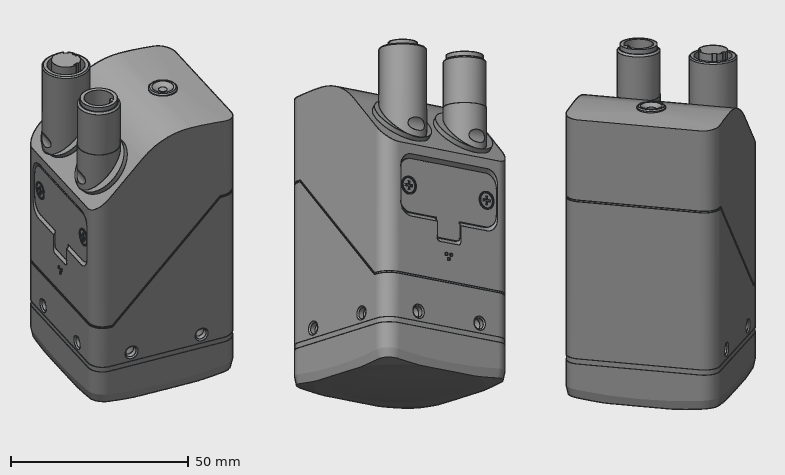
import cadquery as cq
import math

SIDE = 45.0
HALF = SIDE / 2
CORNER_RADIUS = 4.6
CREST_Y = 7.2
CREST_Z = 85.4
ROOF_BACK_Z = 84.1
ROOF_FRONT_RADIUS = 20.7
SLOPE_ANGLE = math.radians(45)

BOWL_RADIUS = 153
BOWL_BOTTOM_Z = -1.5
SKIRT_HEIGHT = 2.5
SKIRT_INSET = 0.6
BASE_Z = 0.4
DOME_RIM_RADIUS = 19.1
DOME_TOP_Z = 2.9

BAND_LOW_Z = 11.5
BAND_HIGH_Z = 13.0
BAND_DEPTH = 0.1
SEAM_FRONT_Z = 25.9
SEAM_TURN_Y = 16.9
SEAM_BACK_Z = SEAM_FRONT_Z + 2 * SEAM_TURN_Y
SEAM_WIDTH = 0.5
SEAM_DEPTH = 0.2

MOUNT_SPACING = 22.0
MOUNT_Z = 15.9
MOUNT_DIAMETER = 3.25
MOUNT_MOUTH_DIAMETER = 4.1
MOUNT_DEPTH = 2.0
DRILL_TIP_ANGLE = math.radians(59)

POCKET_WIDTH = 34.7
POCKET_TOP_Z = 61.4
POCKET_BOTTOM_Z = 43.2
POCKET_CORNER = 3.8
POCKET_DEPTH = 1.2
TAB_WIDTH = 8.4
TAB_BOTTOM_Z = 37.5
TAB_CORNER = 1.0
COVER_RECESS = 0.5

SCREW_X = 14.0
SCREW_Z = 52.3
SCREW_SEAT_DIAMETER = 5.2
SCREW_HEAD_DIAMETER = 4.4
SCREW_GAP_DEPTH = 0.3
CROSS_LENGTH = 2.5
CROSS_WIDTH = 0.6
CROSS_DEPTH = 0.6

DOT_DIAMETER = 0.9
DOT_DEPTH = 0.3
DOT_SPACING = 1.7
DOT_UPPER_Z = 34.2
DOT_LOWER_Z = 32.9

BUTTON_Y = 9.8
BUTTON_DIAMETER = 8.2
BUTTON_TOP_Z = 86.0
BUTTON_CHAMFER = 0.4
DISH_DIAMETER = 6.1
DISH_FLOOR_DIAMETER = 2.5
DISH_DEPTH = 0.9

CONNECTOR_X = 11.0
DISC_Y = -14.4
DISC_DIAMETER = 18.0
DISC_THICKNESS = 1.4

LEFT_Y = -15.3
LEFT_DIAMETER = 13.6
LEFT_TOP_Z = 93.9
LEFT_CHAMFER = 0.4
LEFT_BORE = 10.7
LEFT_BORE_DEPTH = 5.7
PLUG_DIAMETER = 8.2
PLUG_TOP_Z = 95.6
PLUG_KEY_ANGLES = (25, 112, 155)
PLUG_KEY_SIZE = 1.2

RIGHT_Y = -15.7
RIGHT_LOWER_DIAMETER = 12.3
RIGHT_UPPER_DIAMETER = 12.1
RIGHT_STEP_Z = 80.0
RIGHT_SHOULDER_Z = 93.9
RIGHT_CHAMFER = 0.6
COLLAR_DIAMETER = 10.5
COLLAR_TOP_Z = 95.2
SOCKET_DIAMETER = 8.3
SOCKET_DEPTH = 7.65
SOCKET_KEY_ANGLE = 48
SOCKET_KEY_RADIUS = 3.8
SOCKET_KEY_SIZE = 1.1

FOOT_GROOVE_RADIUS = 3.0
FOOT_GROOVE_DEPTH = 0.7
FOOT_GROOVE_Z = 70.7

slope_start_y = CREST_Y - ROOF_FRONT_RADIUS * math.sin(SLOPE_ANGLE)
slope_start_z = CREST_Z - ROOF_FRONT_RADIUS * (1 - math.cos(SLOPE_ANGLE))


def slope_z(y):
    """Height of the 45-degree front slope at depth y."""
    return slope_start_z - (slope_start_y - y) * math.tan(SLOPE_ANGLE)


def column(inset, low_z, high_z):
    """Rounded square column, inset from the housing walls."""
    return (
        cq.Workplane("XY", origin=(0, 0, low_z))
        .rect(SIDE - 2 * inset, SIDE - 2 * inset)
        .extrude(high_z - low_z)
        .edges("|Z")
        .fillet(CORNER_RADIUS - inset)
    )


def cylinder(x, y, low_z, high_z, diameter):
    return cq.Workplane("XY", origin=(x, y, low_z)).circle(diameter / 2).extrude(high_z - low_z)


def roof_prism():
    """Everything below the roof: back arc, front arc, then a straight slope."""
    back_run = HALF - CREST_Y
    back_drop = CREST_Z - ROOF_BACK_Z
    back_radius = (back_run**2 + back_drop**2) / (2 * back_drop)
    half_back = math.asin(back_run / back_radius) / 2
    half_front = SLOPE_ANGLE / 2
    back_mid = (
        CREST_Y + back_radius * math.sin(half_back),
        CREST_Z - back_radius * (1 - math.cos(half_back)),
    )
    front_mid = (
        CREST_Y - ROOF_FRONT_RADIUS * math.sin(half_front),
        CREST_Z - ROOF_FRONT_RADIUS * (1 - math.cos(half_front)),
    )
    return (
        cq.Workplane("YZ")
        .moveTo(HALF, BOWL_BOTTOM_Z)
        .lineTo(HALF, ROOF_BACK_Z)
        .threePointArc(back_mid, (CREST_Y, CREST_Z))
        .threePointArc(front_mid, (slope_start_y, slope_start_z))
        .lineTo(-HALF, slope_z(-HALF))
        .lineTo(-HALF, BOWL_BOTTOM_Z)
        .close()
        .extrude(HALF, both=True)
    )


def housing():
    """Column under the roof, with a bowl-shaped underside cut flat and a tapered skirt."""
    bowl = cq.Workplane("XY", origin=(0, 0, BOWL_BOTTOM_Z + BOWL_RADIUS)).sphere(BOWL_RADIUS)
    block = column(0, BOWL_BOTTOM_Z, CREST_Z).intersect(roof_prism()).intersect(bowl)
    block = block.faces("<Z").chamfer(SKIRT_INSET, SKIRT_HEIGHT)
    above_base = cq.Workplane("XY", origin=(0, 0, BASE_Z)).rect(SIDE, SIDE).extrude(CREST_Z)
    return block.intersect(above_base).union(base_dome())


def base_dome():
    """Shallow spherical cap under the flat base, reaching down to Z = 0."""
    radius = (DOME_RIM_RADIUS**2 + BASE_Z**2) / (2 * BASE_Z)
    ball = cq.Workplane("XY", origin=(0, 0, radius)).sphere(radius)
    return cylinder(0, 0, 0, DOME_TOP_Z, 2 * DOME_RIM_RADIUS).intersect(ball)


def wall_band(depth):
    """Thin shell just inside the housing walls."""
    return column(0, 0, CREST_Z).cut(column(depth, 0, CREST_Z))


def band_groove():
    slab = cq.Workplane("XY", origin=(0, 0, BAND_LOW_Z)).rect(SIDE, SIDE).extrude(BAND_HIGH_Z - BAND_LOW_Z)
    return slab.intersect(wall_band(BAND_DEPTH))


def seam_groove():
    """Groove that is level at front and back and climbs at 45 degrees along the sides."""
    lower_path = [
        (-HALF, SEAM_FRONT_Z),
        (-SEAM_TURN_Y, SEAM_FRONT_Z),
        (SEAM_TURN_Y, SEAM_BACK_Z),
        (HALF, SEAM_BACK_Z),
    ]
    upper_path = [(y, z + SEAM_WIDTH) for y, z in reversed(lower_path)]
    strip = cq.Workplane("YZ").polyline(lower_path + upper_path).close().extrude(HALF, both=True)
    return strip.intersect(wall_band(SEAM_DEPTH))


def front_plane(x, z, depth=0):
    """Workplane on the front wall (sunk by depth) whose normal points out of the part."""
    return cq.Workplane("XZ", origin=(x, depth - HALF, z))


def mounting_hole(x):
    """Blind drilled hole with a countersunk mouth in the front wall."""
    radius = MOUNT_DIAMETER / 2
    mouth_radius = MOUNT_MOUTH_DIAMETER / 2
    tip_depth = MOUNT_DEPTH + radius / math.tan(DRILL_TIP_ANGLE)
    return (
        cq.Workplane("XY", origin=(x, -HALF, MOUNT_Z))
        .polyline([
            (0, 0),
            (mouth_radius, 0),
            (radius, mouth_radius - radius),
            (radius, MOUNT_DEPTH),
            (0, tip_depth),
        ])
        .close()
        .revolve(360, (0, 0, 0), (0, 1, 0))
    )


def mounting_holes():
    """A pair of holes in each of the front, left and right walls."""
    pair = mounting_hole(-MOUNT_SPACING / 2).union(mounting_hole(MOUNT_SPACING / 2))
    holes = pair
    for turn in (-90, 90):
        holes = holes.union(pair.rotate((0, 0, 0), (0, 0, 1), turn))
    return holes


def pocket_outline_block():
    """Straight-walled block: a rounded rectangle with a tab hanging from its lower edge."""
    height = POCKET_TOP_Z - POCKET_BOTTOM_Z
    tab_height = POCKET_BOTTOM_Z - TAB_BOTTOM_Z + POCKET_CORNER
    panel = (
        front_plane(0, POCKET_BOTTOM_Z + height / 2)
        .rect(POCKET_WIDTH, height)
        .extrude(-POCKET_DEPTH)
        .edges("|Y")
        .fillet(POCKET_CORNER)
    )
    tab = (
        front_plane(0, TAB_BOTTOM_Z + tab_height / 2)
        .rect(TAB_WIDTH, tab_height)
        .extrude(-POCKET_DEPTH)
        .edges("|Y and <Z")
        .fillet(TAB_CORNER)
    )
    return panel.union(tab).clean()


def cover_pocket():
    """Recess whose upper and lower walls slope inward at 45 degrees, around a flat cover."""
    outline = pocket_outline_block()
    mouth = outline.faces("<Y").val()
    leaning_down, leaning_up = (
        cq.Workplane(cq.Solid.extrudeLinear(mouth, cq.Vector(0, POCKET_DEPTH, rise)))
        for rise in (-POCKET_DEPTH, POCKET_DEPTH)
    )
    recess = leaning_down.intersect(leaning_up)
    floor = recess.faces(">Y").val()
    cover = cq.Solid.extrudeLinear(floor, cq.Vector(0, COVER_RECESS - POCKET_DEPTH, 0))
    return recess.cut(cq.Workplane(cover))


def cover_screw(x):
    """Gap around a round screw head and the cross slot in the head, both sunk in the cover."""
    face = front_plane(x, SCREW_Z, COVER_RECESS)
    gap = face.circle(SCREW_SEAT_DIAMETER / 2).circle(SCREW_HEAD_DIAMETER / 2).extrude(-SCREW_GAP_DEPTH)
    flat_arm = face.rect(CROSS_LENGTH, CROSS_WIDTH).extrude(-CROSS_DEPTH)
    upright_arm = face.rect(CROSS_WIDTH, CROSS_LENGTH).extrude(-CROSS_DEPTH)
    return gap.union(flat_arm).union(upright_arm)


def dot_holes():
    centers = [(-DOT_SPACING / 2, DOT_UPPER_Z), (DOT_SPACING / 2, DOT_UPPER_Z), (0, DOT_LOWER_Z)]
    return front_plane(0, 0).pushPoints(centers).circle(DOT_DIAMETER / 2).extrude(-DOT_DEPTH)


def roof_button():
    """Round button with a chamfered rim."""
    button = cylinder(0, BUTTON_Y, ROOF_BACK_Z - BUTTON_CHAMFER, BUTTON_TOP_Z, BUTTON_DIAMETER)
    return button.faces(">Z").chamfer(BUTTON_CHAMFER)


def button_dish():
    """Conical dish with a flat floor in the top of the button."""
    return (
        cq.Workplane("XY", origin=(0, BUTTON_Y, BUTTON_TOP_Z - DISH_DEPTH))
        .circle(DISH_FLOOR_DIAMETER / 2)
        .workplane(offset=DISH_DEPTH)
        .circle(DISH_DIAMETER / 2)
        .loft()
    )


def slope_plane(x):
    """Workplane on the sloping face at a disc centre, normal pointing out of the part."""
    normal = (0, -math.sin(SLOPE_ANGLE), math.cos(SLOPE_ANGLE))
    return cq.Workplane(cq.Plane((x, DISC_Y, slope_z(DISC_Y)), (1, 0, 0), normal))


def connector_disc(x):
    return slope_plane(x).circle(DISC_DIAMETER / 2).extrude(DISC_THICKNESS)


def above_disc(shape, x):
    """Keep only what stands above the outer face of the disc."""
    below = slope_plane(x).workplane(offset=DISC_THICKNESS).rect(SIDE, SIDE).extrude(-SIDE)
    return shape.cut(below)


def foot_groove(x, front_y):
    """Level groove across the front of a connector whose foremost line is at front_y."""
    axis_y = front_y + FOOT_GROOVE_DEPTH - FOOT_GROOVE_RADIUS
    return (
        cq.Workplane("YZ", origin=(x, axis_y, FOOT_GROOVE_Z))
        .circle(FOOT_GROOVE_RADIUS)
        .extrude(LEFT_DIAMETER / 2, both=True)
    )


def key_block(x, y, radius, angle, size, low_z, high_z):
    """Square bar centred on the given radius and turned to face the connector axis."""
    return (
        cq.Workplane("XY", origin=(x, y, low_z))
        .transformed(rotate=(0, 0, angle))
        .center(radius, 0)
        .rect(size, size)
        .extrude(high_z - low_z)
    )


def left_connector():
    x = -CONNECTOR_X
    sleeve = cylinder(x, LEFT_Y, slope_z(-HALF), LEFT_TOP_Z, LEFT_DIAMETER)
    sleeve = sleeve.faces(">Z").chamfer(LEFT_CHAMFER)
    bore_floor_z = LEFT_TOP_Z - LEFT_BORE_DEPTH
    sleeve = sleeve.cut(cylinder(x, LEFT_Y, bore_floor_z, LEFT_TOP_Z, LEFT_BORE))
    plug = cylinder(x, LEFT_Y, bore_floor_z, PLUG_TOP_Z, PLUG_DIAMETER)
    for angle in PLUG_KEY_ANGLES:
        plug = plug.cut(
            key_block(x, LEFT_Y, PLUG_DIAMETER / 2, angle, PLUG_KEY_SIZE, bore_floor_z, PLUG_TOP_Z)
        )
    connector = above_disc(sleeve.union(plug), x)
    return connector.cut(foot_groove(x, LEFT_Y - LEFT_DIAMETER / 2))


def right_connector():
    x = CONNECTOR_X
    lower = cylinder(x, RIGHT_Y, slope_z(-HALF), RIGHT_STEP_Z, RIGHT_LOWER_DIAMETER)
    upper = cylinder(x, RIGHT_Y, RIGHT_STEP_Z, RIGHT_SHOULDER_Z, RIGHT_UPPER_DIAMETER)
    upper = upper.faces(">Z").chamfer(RIGHT_CHAMFER)
    collar = cylinder(x, RIGHT_Y, RIGHT_SHOULDER_Z, COLLAR_TOP_Z, COLLAR_DIAMETER)
    socket_floor_z = COLLAR_TOP_Z - SOCKET_DEPTH
    socket = cylinder(x, RIGHT_Y, socket_floor_z, COLLAR_TOP_Z, SOCKET_DIAMETER)
    key = key_block(
        x, RIGHT_Y, SOCKET_KEY_RADIUS, SOCKET_KEY_ANGLE, SOCKET_KEY_SIZE, socket_floor_z, COLLAR_TOP_Z
    )
    connector = above_disc(lower.union(upper).union(collar).cut(socket.cut(key)), x)
    return connector.cut(foot_groove(x, RIGHT_Y - RIGHT_LOWER_DIAMETER / 2))


result = housing().cut(band_groove()).cut(seam_groove()).cut(mounting_holes())
result = result.cut(cover_pocket()).cut(dot_holes())
for screw_x in (-SCREW_X, SCREW_X):
    result = result.cut(cover_screw(screw_x))
result = result.union(roof_button()).cut(button_dish())
for disc_x in (-CONNECTOR_X, CONNECTOR_X):
    result = result.union(connector_disc(disc_x))
result = result.union(left_connector()).union(right_connector())